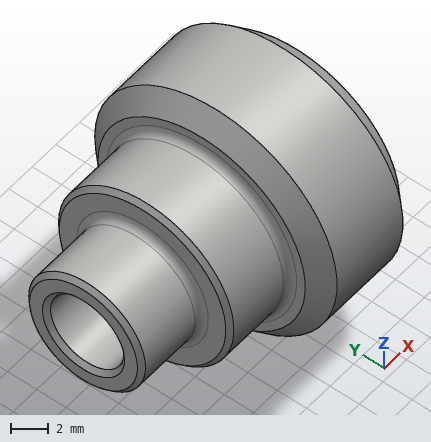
import cadquery as cq

total_length = 18.0
step_length = 5.0
nose_diameter = 8.0
middle_diameter = 12.0
head_diameter = 16.6
bore_diameter = 5.0
head_chamfer = 1.2
edge_chamfer = 0.3
corner_fillet = 0.5

middle_start = step_length
head_start = 2 * step_length


def cylinder(start, end, diameter):
    """Solid cylinder on the X axis between two X positions."""
    return cq.Workplane("YZ").workplane(offset=start).circle(diameter / 2).extrude(end - start)


nose = cylinder(0, middle_start, nose_diameter).faces("<X").chamfer(edge_chamfer)
middle = cylinder(middle_start, head_start, middle_diameter).faces("<X").chamfer(edge_chamfer)
head = cylinder(head_start, total_length, head_diameter).faces("<X or >X").chamfer(head_chamfer)
body = nose.union(middle).union(head)


def fillet_step(solid, position, diameter):
    """Round the inside corner where a section meets the next larger one."""
    margin = 0.02
    reach = diameter / 2 + margin
    corner = cq.selectors.BoxSelector(
        (position - margin, -reach, -reach),
        (position + margin, reach, reach),
        boundingbox=True,
    )
    return solid.edges(corner).fillet(corner_fillet)


body = fillet_step(body, middle_start, nose_diameter)
body = fillet_step(body, head_start, middle_diameter)

bore = cylinder(0, total_length, bore_diameter)
mouth = (
    cq.Workplane("YZ")
    .circle(bore_diameter / 2 + edge_chamfer)
    .workplane(offset=edge_chamfer)
    .circle(bore_diameter / 2)
    .loft(ruled=True)
)

result = body.cut(bore).cut(mouth)